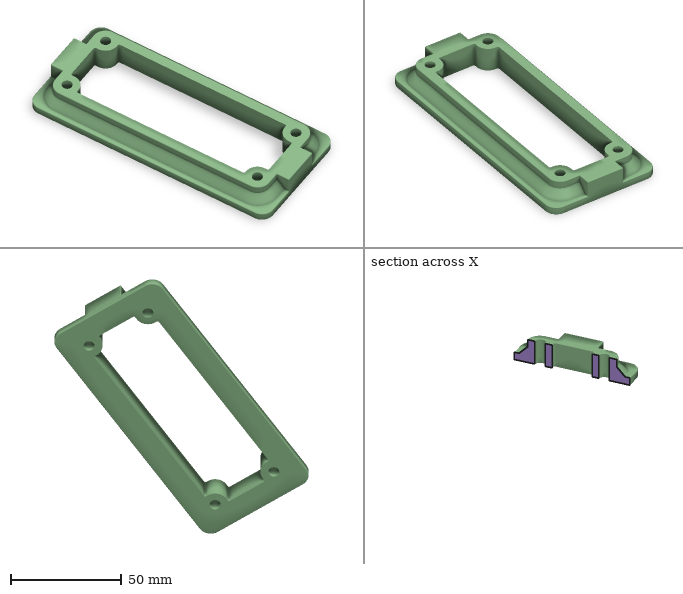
import cadquery as cq

length = 129.0
width = 58.0
height = 12.0
flange_height = 4.0
flange_corner_radius = 5.9
edge_radius = 0.43

collar_length = 115.8
collar_width = 44.9
collar_corner_radius = 6.2
skirt_size = 4.1

block_width = 19.6

hole_spacing_x = 103.0
hole_spacing_y = 32.0
hole_diameter = 5.0
boss_radius = 6.0
opening_length = 107.0
opening_width = 35.0
opening_corner_radius = 0.6


def rounded_block(size_x, size_y, size_z, corner_radius, bottom):
    """Box standing on z = bottom with rounded vertical edges."""
    box = cq.Workplane("XY").workplane(offset=bottom).rect(size_x, size_y).extrude(size_z)
    return box.edges("|Z").fillet(corner_radius)


def make_flange():
    flange = rounded_block(length, width, flange_height, flange_corner_radius, 0)
    return flange.faces("<Z or >Z").edges().fillet(edge_radius)


def make_collar():
    return rounded_block(
        collar_length, collar_width, height - flange_height, collar_corner_radius, flange_height
    )


def make_skirt():
    """Band that slopes at 45 degrees from the flange up to the collar wall."""
    foot = (
        cq.Sketch()
        .rect(collar_length + 2 * skirt_size, collar_width + 2 * skirt_size)
        .vertices()
        .fillet(collar_corner_radius + skirt_size)
    )
    plane = cq.Workplane("XY").workplane(offset=flange_height)
    return plane.placeSketch(foot).extrude(skirt_size, taper=45)


def make_end_blocks():
    """Bar along X whose two ends form the end blocks; the opening removes its middle."""
    bottom = flange_height / 2
    bar = cq.Workplane("XY").workplane(offset=bottom).rect(length, block_width).extrude(height - bottom)
    return bar.edges("|Z").fillet(edge_radius)


def make_opening():
    """Rectangular cutter with a boss-shaped notch in each corner."""
    opening = cq.Workplane("XY").rect(opening_length, opening_width).extrude(height)
    for side_x in (-1, 1):
        for side_y in (-1, 1):
            boss_size = 2 * boss_radius
            boss = (
                cq.Workplane("XY")
                .rect(boss_size, boss_size)
                .extrude(height)
                .edges("|Z")
                .edges("<X" if side_x > 0 else ">X")
                .edges("<Y" if side_y > 0 else ">Y")
                .fillet(boss_radius)
                .translate((side_x * hole_spacing_x / 2, side_y * hole_spacing_y / 2, 0))
            )
            opening = opening.cut(boss)
    walls = opening.edges("|Z").edges("<X or >X or <Y or >Y")
    return walls.fillet(opening_corner_radius)


def make_screw_holes():
    centers = cq.Workplane("XY").rect(hole_spacing_x, hole_spacing_y, forConstruction=True).vertices()
    return centers.circle(hole_diameter / 2).extrude(height)


body = make_flange().union(make_collar()).union(make_end_blocks())
body = body.faces(">Z").edges().fillet(edge_radius)
body = body.union(make_skirt())
result = body.cut(make_opening()).cut(make_screw_holes())